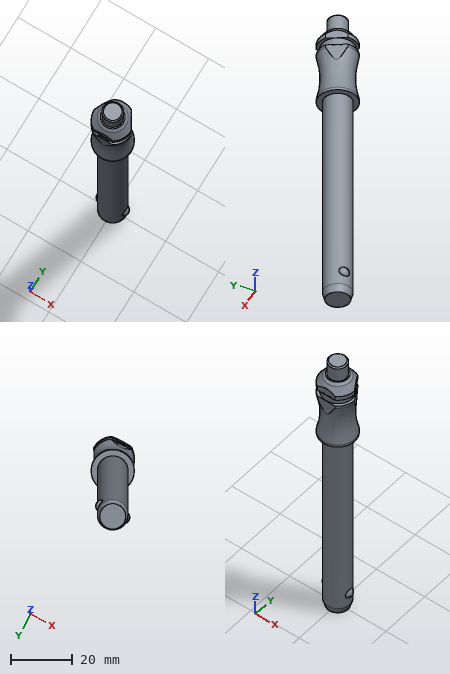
import cadquery as cq
import math

total_height = 112.7

shank_radius = 5.0
tip_radius = 4.2
tip_taper_height = 2.8

ball_radius = 2.0
ball_reach = 6.0
ball_height = 8.0

handle_radius = 7.0
waist_radius = 5.8
rim_height = 1.0
sleeve_height = 19.0
neck_radius = 5.9
neck_height = 2.7
collar_height = 1.7
cone_top_radius = 5.0
cone_height = 2.7
crown_top_radius = 4.0
crown_height = 0.9
flat_distance = 6.0
flat_angles = (-90, 30, 150)

button_radius = 3.5
button_chamfer = 0.5
button_projection = 6.1

handle_top = total_height - button_projection
cone_top = handle_top - crown_height
collar_top = cone_top - cone_height
collar_bottom = collar_top - collar_height
sleeve_top = collar_bottom - neck_height
sleeve_bottom = sleeve_top - sleeve_height
waist_top = sleeve_top - rim_height
waist_bottom = sleeve_bottom + rim_height
waist_middle = (waist_top + waist_bottom) / 2

waist_half_height = waist_top - waist_middle
waist_depth = handle_radius - waist_radius
waist_arc_radius = (waist_half_height**2 + waist_depth**2) / (2 * waist_depth)
waist_arc_mid_offset = waist_half_height / 2
waist_arc_mid_radius = (
    waist_radius + waist_arc_radius - math.sqrt(waist_arc_radius**2 - waist_arc_mid_offset**2)
)


def make_handle():
    """Waisted sleeve, neck, conical collar and flat-topped crown, revolved about Z."""
    profile = (
        cq.Workplane("XZ")
        .moveTo(0, sleeve_bottom)
        .lineTo(handle_radius, sleeve_bottom)
        .lineTo(handle_radius, waist_bottom)
        .threePointArc(
            (waist_arc_mid_radius, waist_middle - waist_arc_mid_offset),
            (waist_radius, waist_middle),
        )
        .threePointArc(
            (waist_arc_mid_radius, waist_middle + waist_arc_mid_offset),
            (handle_radius, waist_top),
        )
        .lineTo(handle_radius, sleeve_top)
        .lineTo(neck_radius, sleeve_top)
        .lineTo(neck_radius, collar_bottom)
        .lineTo(handle_radius, collar_bottom)
        .lineTo(handle_radius, collar_top)
        .lineTo(cone_top_radius, cone_top)
        .lineTo(crown_top_radius, handle_top)
        .lineTo(0, handle_top)
        .close()
    )
    return profile.revolve(360, (0, 0, 0), (0, 1, 0))


def cut_flats(handle):
    """Three equally spaced wrench flats on the upper half of the handle."""
    cutter_size = 2 * handle_radius
    cutter_height = handle_top - waist_middle
    cutter = cq.Workplane("XY").box(
        cutter_size, cutter_size, cutter_height, centered=(False, True, False)
    )
    cutter = cutter.translate((flat_distance, 0, waist_middle))
    for angle in flat_angles:
        handle = handle.cut(cutter.rotate((0, 0, 0), (0, 0, 1), angle))
    return handle


def make_shank():
    """Straight shank with a tapered tip, reaching up into the handle."""
    profile = (
        cq.Workplane("XZ")
        .lineTo(tip_radius, 0)
        .lineTo(shank_radius, tip_taper_height)
        .lineTo(shank_radius, waist_bottom)
        .lineTo(0, waist_bottom)
        .close()
    )
    return profile.revolve(360, (0, 0, 0), (0, 1, 0))


def make_ball(side):
    """Locking ball on the +X (side = 1) or -X (side = -1) face of the shank."""
    center_x = side * (ball_reach - ball_radius)
    return cq.Workplane("XY").sphere(ball_radius).translate((center_x, 0, ball_height))


def make_button():
    """Push button rising from inside the handle, chamfered at its top edge."""
    button = cq.Workplane("XY").workplane(offset=waist_top)
    button = button.circle(button_radius).extrude(total_height - waist_top)
    return button.faces(">Z").chamfer(button_chamfer)


result = cut_flats(make_handle()).union(make_shank()).union(make_button())
for ball_side in (-1, 1):
    result = result.union(make_ball(ball_side))